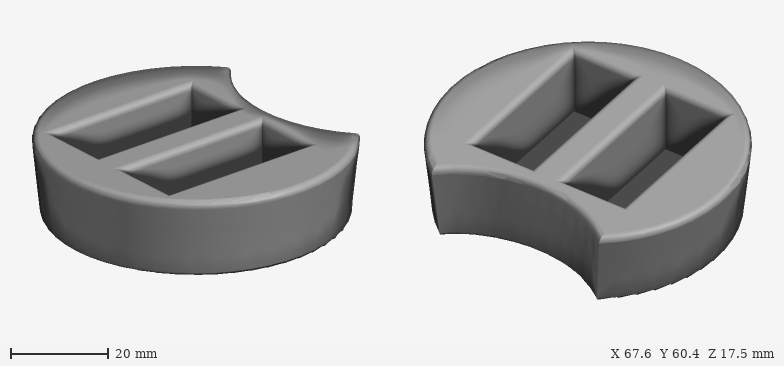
import cadquery as cq
import math

rim_radius = 33.8
height = 17.5
base_inset = 1.8
top_round = 1.5
bottom_round = 0.8

tip_y = 26.6
bite_bottom_y = 18.6

pocket_width = 14.8
pocket_length = 37.05
pocket_spacing = 22.8
pocket_center_y = -4.1
floor_thickness = 2.0
pocket_round = 1.5

taper = math.atan(base_inset / height)
cone_top_radius = rim_radius + top_round * (1 / math.cos(taper) - 1 + math.tan(taper))

tip_x = math.sqrt(rim_radius**2 - tip_y**2)
bite_depth = tip_y - bite_bottom_y
bite_radius = (tip_x**2 + bite_depth**2) / (2 * bite_depth)
bite_center_y = bite_bottom_y + bite_radius


def make_body():
    cone = (
        cq.Workplane("XY")
        .workplane(offset=height)
        .circle(cone_top_radius)
        .extrude(-height, taper=math.degrees(taper))
    )
    bite = cq.Workplane("XY").center(0, bite_center_y).circle(bite_radius).extrude(height)
    body = cone.cut(bite)
    return body.faces(">Z").edges().fillet(top_round).faces("<Z").edges().fillet(bottom_round)


def make_pocket(center_x):
    depth = height - floor_thickness
    return (
        cq.Workplane("XY")
        .workplane(offset=floor_thickness)
        .center(center_x, pocket_center_y)
        .rect(pocket_width, pocket_length)
        .extrude(depth)
    )

result = make_body()
for side in (-1, 1):
    result = result.cut(make_pocket(side * pocket_spacing / 2))

zone_margin = 0.1
mouth_reach = pocket_spacing + pocket_width + pocket_round
mouth_zone = cq.selectors.BoxSelector(
    (-mouth_reach / 2, pocket_center_y - pocket_length / 2 - pocket_round, height - zone_margin),
    (mouth_reach / 2, pocket_center_y + pocket_length / 2 + pocket_round, height + zone_margin),
)
result = result.faces(">Z").edges("|X or |Y").edges(mouth_zone).fillet(pocket_round)